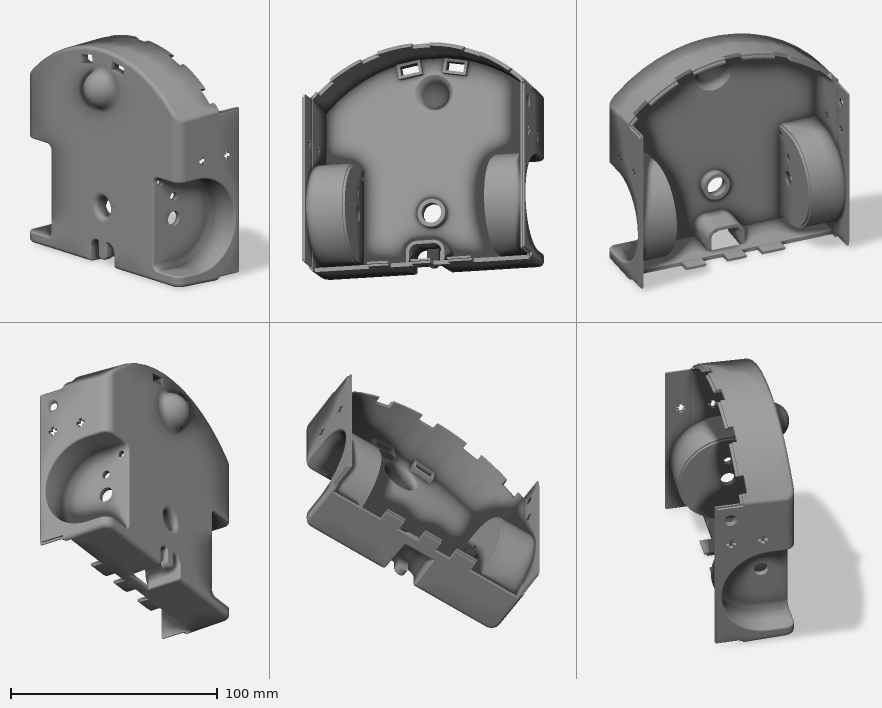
import cadquery as cq
import math

width = 111.8
half_width = width / 2
skin = 1.0
wall = 2 * skin
front_plate = 2.0
crown_radius = 75.4
crown_height = 110.0
crown_center_z = crown_height - crown_radius
crown_skin_depth = 26.0
crown_lip_depth = 27.4
draft = 0.03
corner_radius = 4.9
edge_radius = 1.9

side_wall = 1.7
side_skin_depth = 38.9
side_lip_depth = 40.0
side_lip_bottom = 1.6
side_lip_top = 84.7
side_corner_radius = 0.9

notch_width = 8.9
notch_floor_depth = 23.5
notch_pitch = 20.3

bottom_wall_depth = 22.9
tooth_skin_depth = 28.1
tooth_lip_depth = 29.3
tooth_spans = ((-26.0, -14.3), (-5.7, 4.1), (15.8, 26.0))

pocket_y = 13.2
pocket_z = 29.9
pocket_radius = 23.4
pocket_floor_x = 37.7
pocket_floor_radius = 3.0
pocket_mouth_radius = 1.0
drum_radius = 24.6
drum_end_x = 36.2
floor_disc_radius = 23.8
floor_disc_end_x = 35.0
axle_hole_diameter = 7.4
pin_hole_diameter = 4.2
pin_hole_z = 40.9
wire_hole_diameter = 3.4
wire_hole_y = 4.4
wire_hole_z = 49.6

cross_span = 4.8
cross_arm = 1.8
cross_z = 61.9
cross_places_y = (16.2, 32.1)
screw_y = 32.3
screw_z = 76.2
screw_diameter = 4.2
screw_head_diameter = 6.5

window_width = 9.0
window_height = 4.6
window_orbit = 68.3
window_angle = 9.7
window_sleeve_wall = 1.3
window_sleeve_depth = 5.0
nose_z = 89.7
nose_base_radius = 11.5
nose_neck_radius = 8.8
nose_neck_height = 2.2
nose_height = 8.9
hub_z = 29.9
hub_bore_radius = 4.9
hub_mouth_radius = 7.6
hub_sleeve_radius = 6.9
hub_sleeve_depth = 6.7

clip_half_width = 8.5
clip_top_z = 12.5
clip_corner_radius = 4.4
clip_depth = 17.9
clip_draft = 1.6
clip_edge_radius = 0.9
clip_wall = 1.7
tongue_half_width = 2.9
tongue_tip_z = 3.4
tongue_tip_radius = 2.8
tongue_thickness = 3.9
tongue_root_radius = 0.9


def block(x0, x1, y0, y1, z0, z1):
    """Box between two opposite corners."""
    return cq.Workplane("XY").box(x1 - x0, y1 - y0, z1 - z0, centered=False).translate((x0, y0, z0))


def rear_facing_plane():
    """Workplane on the front face: local axes are -X and Z, extrusion goes toward +Y."""
    return cq.Workplane(cq.Plane(origin=(0, 0, 0), xDir=(-1, 0, 0), normal=(0, 1, 0)))


def housing_block(inset, front, back):
    """Solid arched housing with drafted top and bottom, offset inward from the outer skin."""
    front_draft = draft * (crown_skin_depth - front)
    back_draft = draft * (crown_skin_depth - back)
    radius = crown_radius - inset
    cone = (
        cq.Workplane("XY")
        .polyline([(0, front), (radius - front_draft, front), (radius - back_draft, back), (0, back)])
        .close()
        .revolve(360, (0, 0), (0, 1))
        .translate((0, 0, crown_center_z))
    )
    prism = (
        cq.Workplane("YZ")
        .polyline([
            (front, inset + front_draft),
            (back, inset + back_draft),
            (back, crown_height + 1.1),
            (front, crown_height + 1.1),
        ])
        .close()
        .extrude(half_width - inset, both=True)
    )
    lower = prism.intersect(block(-width, width, front, back, -1.1, crown_center_z))
    upper = prism.intersect(cone).intersect(block(-width, width, front, back, crown_center_z, width))
    return lower.union(upper).clean()


def rounded_housing():
    """Outer skin of the housing with its rounded corners and edges."""
    body = housing_block(0, 0, crown_skin_depth)
    body = body.edges("|Z and <Y").fillet(corner_radius)
    return body.faces("<Y").edges().fillet(edge_radius)


def side_plate():
    """Left side wall, reaching behind the arched wall, with a stepped rear rim."""
    front = corner_radius
    outer = block(
        -half_width, -half_width + skin, front, side_skin_depth,
        side_lip_bottom + skin, side_lip_top - skin,
    )
    inner = block(
        -half_width + skin, -half_width + side_wall, front, side_lip_depth,
        side_lip_bottom, side_lip_top,
    )
    rear_corners = "|X and >Y"
    outer = outer.edges(rear_corners).fillet(side_corner_radius)
    return outer.union(inner.edges(rear_corners).fillet(side_corner_radius))


def slot_prism(radius, outer_x, inner_x, front):
    """Left wheel shape: half disc at the rear, straight toward the front."""
    disc = (
        cq.Workplane("YZ", origin=(-outer_x, 0, 0))
        .center(pocket_y, pocket_z)
        .circle(radius)
        .extrude(outer_x - inner_x)
    )
    straight = block(-outer_x, -inner_x, front, pocket_y, pocket_z - radius, pocket_z + radius)
    disc = disc.intersect(block(-outer_x, -inner_x, pocket_y, width, -width, width))
    return disc.union(straight).clean()


def pocket_drum():
    """Left pocket wall and the floor disc that closes it."""
    front = front_plate
    wall_ring = slot_prism(drum_radius, half_width - skin, drum_end_x, front)
    floor_disc = slot_prism(
        floor_disc_radius, pocket_floor_x + pocket_floor_radius, floor_disc_end_x, 0
    )
    return wall_ring.union(floor_disc)


def pocket_cut():
    """Left wheel pocket, open to the side and to the front."""
    cut = slot_prism(pocket_radius, half_width + wall, pocket_floor_x, -wall)
    return cut.faces(">X").edges("not(<Y)").fillet(pocket_floor_radius)


def side_hole(diameter, y, z):
    """Hole along X through the left wall or the left pocket floor."""
    return cq.Workplane("YZ", origin=(-half_width, y, z)).circle(diameter / 2).extrude(half_width)


def side_openings():
    """Axle, pin and wire holes and the two crosses of one side wall."""
    holes = side_hole(axle_hole_diameter, pocket_y, pocket_z)
    holes = holes.union(side_hole(pin_hole_diameter, pocket_y, pin_hole_z))
    holes = holes.union(side_hole(wire_hole_diameter, wire_hole_y, wire_hole_z))
    for y in cross_places_y:
        for across, tall in ((cross_span, cross_arm), (cross_arm, cross_span)):
            bar = cq.Workplane("YZ", origin=(-half_width, y, cross_z)).rect(across, tall)
            holes = holes.union(bar.extrude(2 * wall))
    return holes


def countersunk_screw_hole():
    """Screw hole in the left side wall only."""
    head_depth = (screw_head_diameter - screw_diameter) / 2
    cone = cq.Workplane(cq.Solid.makeCone(
        screw_head_diameter / 2, screw_diameter / 2, head_depth,
        pnt=cq.Vector(-half_width, screw_y, screw_z), dir=cq.Vector(1, 0, 0),
    ))
    bore = cq.Workplane("YZ", origin=(-half_width, screw_y, screw_z)).circle(screw_diameter / 2)
    return cone.union(bore.extrude(2 * wall))


def crown_block(angle, orbit, across, radial, front, back):
    """Box turned to face the crown centre, at an angle from the vertical."""
    return (
        block(-across / 2, across / 2, front, back, orbit - radial / 2, orbit + radial / 2)
        .rotate((0, 0, 0), (0, 1, 0), angle)
        .translate((0, 0, crown_center_z))
    )


def bottom_teeth():
    """Stepped teeth that extend the bottom wall toward the rear."""
    teeth = cq.Workplane("XY")
    for x0, x1 in tooth_spans:
        teeth = teeth.union(block(x0, x1, bottom_wall_depth - skin, tooth_skin_depth, 0, skin))
        teeth = teeth.union(block(x0, x1, bottom_wall_depth - skin, tooth_lip_depth, skin, wall))
    return teeth


def nose(inset):
    """Domed nose on the front plate with a flared foot; inset gives its inner surface."""
    rise = nose_height - nose_neck_height
    ball = (nose_neck_radius ** 2 + rise ** 2) / (2 * rise)
    center = ball - nose_height
    tilt = math.asin((nose_neck_height + center) / ball)
    middle = (tilt + math.pi / 2) / 2
    ball -= inset
    neck = ball * math.cos(tilt)
    neck_y = center - ball * math.sin(tilt)
    foot = nose_base_radius - inset
    profile = (
        cq.Workplane("XY")
        .moveTo(0, center - ball)
        .threePointArc(
            (ball * math.cos(middle), center - ball * math.sin(middle)),
            (neck, neck_y),
        )
        .tangentArcPoint((foot, inset), relative=False)
        .lineTo(foot, inset + front_plate)
        .lineTo(0, inset + front_plate)
        .close()
    )
    return profile.revolve(360, (0, 0), (0, 1)).translate((0, 0, nose_z))


def hub_sleeve():
    """Solid sleeve behind the front plate, before boring."""
    return cq.Workplane(cq.Solid.makeCylinder(
        hub_sleeve_radius, hub_sleeve_depth - front_plate / 2,
        cq.Vector(0, front_plate / 2, hub_z), cq.Vector(0, 1, 0),
    ))


def hub_bore():
    """Bore through the front plate with a rounded mouth."""
    mouth = hub_mouth_radius - hub_bore_radius
    middle = mouth * math.sin(math.pi / 4)
    return (
        cq.Workplane("XY")
        .lineTo(hub_mouth_radius, 0)
        .threePointArc(
            (hub_mouth_radius - middle, mouth - middle), (hub_bore_radius, mouth)
        )
        .lineTo(hub_bore_radius, hub_sleeve_depth)
        .lineTo(0, hub_sleeve_depth)
        .close()
        .revolve(360, (0, 0), (0, 1))
        .translate((0, 0, hub_z))
    )


def clip_arch(offset, front):
    """Round-shouldered arch under the front plate, narrowing toward the rear."""
    half = clip_half_width + offset
    height = clip_top_z + offset
    radius = clip_corner_radius + offset
    bend = radius * (1 - math.sqrt(0.5))
    arch = (
        rear_facing_plane()
        .moveTo(-half, -wall)
        .lineTo(-half, height - radius)
        .threePointArc((-half + bend, height - bend), (-half + radius, height))
        .lineTo(half - radius, height)
        .threePointArc((half - bend, height - bend), (half, height - radius))
        .lineTo(half, -wall)
        .close()
        .extrude(clip_depth, taper=clip_draft)
    )
    return arch.intersect(block(-width, width, front, clip_depth, -wall, width))


def clip_tunnel():
    """Walls around the clip opening, behind the front plate."""
    return clip_arch(clip_wall, front_plate / 2).intersect(
        block(-width, width, 0, clip_depth, wall / 2, width)
    )


def clip_tongue():
    """Tongue hanging from the top of the clip opening, with a round tip."""
    tongue = block(
        -tongue_half_width, tongue_half_width, 0, tongue_thickness,
        tongue_tip_z, clip_top_z + clip_wall / 2,
    )
    return tongue.edges("|Y and <Z").fillet(tongue_tip_radius)


def both_sides(shape):
    """Left-hand shape together with its mirror image on the right."""
    return shape.union(shape.mirror("YZ"))


body = rounded_housing()
lip = housing_block(skin, crown_skin_depth - wall, crown_lip_depth)
body = body.union(lip)
cavity = housing_block(wall, front_plate, side_lip_depth)
body = body.cut(cavity)
for step in (-2, -1, 0, 1, 2):
    notch = crown_block(
        step * notch_pitch, crown_radius, notch_width, 4 * wall, notch_floor_depth, side_lip_depth
    )
    body = body.cut(notch)
inner_half = half_width - wall
body = body.cut(block(-inner_half, inner_half, bottom_wall_depth, side_lip_depth, -1.1, 2 * wall))

body = body.union(both_sides(side_plate())).union(bottom_teeth())

body = body.union(both_sides(pocket_drum())).cut(both_sides(pocket_cut()))
for side in (-1, 1):
    floor_front = cq.selectors.NearestToPointSelector((side * pocket_floor_x, 0, pocket_z))
    body = body.edges(floor_front).fillet(pocket_mouth_radius)
body = body.cut(both_sides(side_openings())).cut(countersunk_screw_hole())

body = body.union(nose(0)).cut(nose(wall))
for angle in (-window_angle, window_angle):
    sleeve_width = window_width + 2 * window_sleeve_wall
    sleeve_height = window_height + 2 * window_sleeve_wall
    sleeve = crown_block(
        angle, window_orbit, sleeve_width, sleeve_height, front_plate / 2, window_sleeve_depth
    )
    window = crown_block(
        angle, window_orbit, window_width, window_height, -1.1, window_sleeve_depth
    )
    body = body.union(sleeve).cut(window)
body = body.union(hub_sleeve()).cut(hub_bore())
body = body.union(clip_tunnel()).cut(clip_arch(0, 0)).union(clip_tongue())
for side in (-1, 1):
    root = cq.selectors.NearestToPointSelector(
        (side * tongue_half_width, tongue_thickness / 2, clip_top_z)
    )
    body = body.edges(root).fillet(tongue_root_radius)
clip_front = cq.selectors.NearestToPointSelector((clip_half_width, 0, clip_top_z / 2))
body = body.edges(clip_front).fillet(clip_edge_radius)
clip_end = cq.selectors.NearestToPointSelector((0, clip_depth, 0))
body = body.edges("|X").edges(clip_end).fillet(clip_edge_radius)

result = body